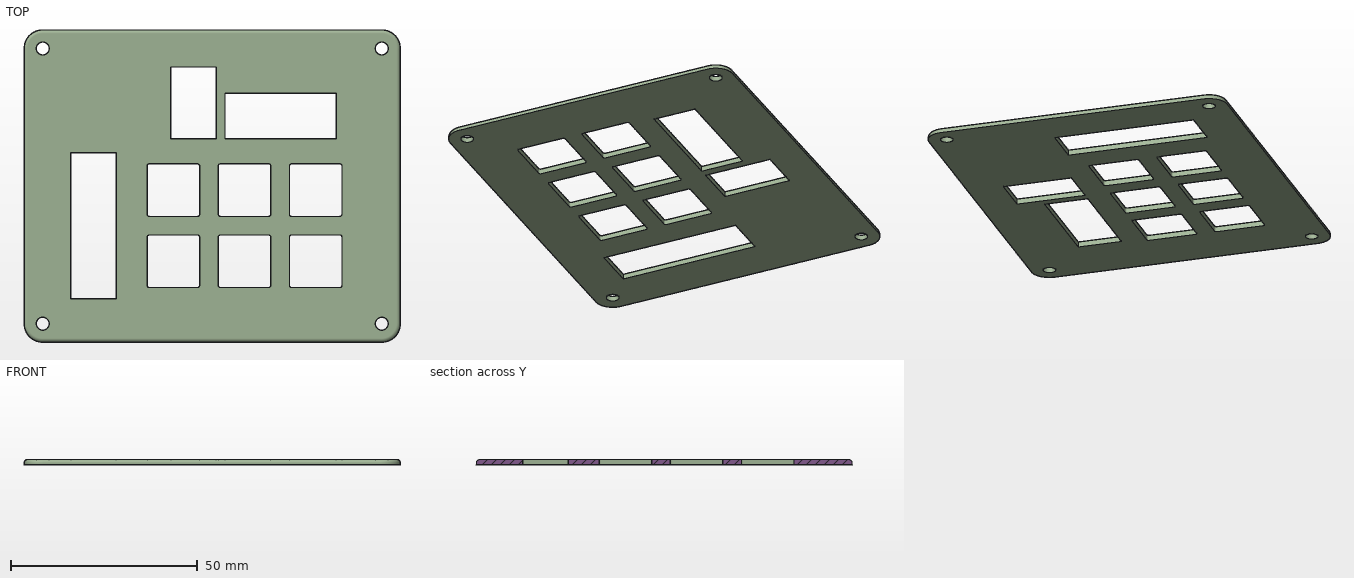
import cadquery as cq

LENGTH = 100.8
WIDTH = 83.7
THICKNESS = 1.5
CORNER_RADIUS = 5.0
TOP_EDGE_RADIUS = 1.0

HOLE_DIAMETER = 3.4
HOLE_INSET = CORNER_RADIUS

KEY_SIZE = 14.0
KEY_CORNER_RADIUS = 0.5
KEY_PITCH = 19.05
KEY_COLUMNS = 3
KEY_ROWS = 2
KEY_GRID_CENTER = (8.65, -10.6)

WINDOW_NARROW = 12.1
TALL_WINDOW_LENGTH = 39.0
TALL_WINDOW_CENTER = (-31.8, KEY_GRID_CENTER[1])
SHORT_WINDOW_LENGTH = 19.1
SHORT_WINDOW_CENTER_X = -5.0
WIDE_WINDOW_LENGTH = 29.7
WIDE_WINDOW_CENTER_X = 18.3
UPPER_WINDOWS_BOTTOM = 12.75


def make_plate():
    """Rounded rectangular plate with a rounded upper rim."""
    plate = cq.Workplane("XY").rect(LENGTH, WIDTH).extrude(THICKNESS)
    plate = plate.edges("|Z").fillet(CORNER_RADIUS)
    return plate.faces(">Z").edges().fillet(TOP_EDGE_RADIUS)


def make_window(size_x, size_y, center):
    """Sharp-cornered rectangular cutter through the plate."""
    return cq.Workplane("XY").center(*center).rect(size_x, size_y).extrude(THICKNESS)


def make_window_above(size_x, size_y, center_x, bottom):
    """Rectangular cutter placed by its lower edge."""
    return make_window(size_x, size_y, (center_x, bottom + size_y / 2))


def make_key_openings():
    """Grid of square cutters with slightly rounded corners."""
    return (
        cq.Workplane("XY")
        .center(*KEY_GRID_CENTER)
        .rarray(KEY_PITCH, KEY_PITCH, KEY_COLUMNS, KEY_ROWS)
        .rect(KEY_SIZE, KEY_SIZE)
        .extrude(THICKNESS)
        .edges("|Z")
        .fillet(KEY_CORNER_RADIUS)
    )


def make_mounting_holes():
    """One round cutter at each plate corner."""
    return (
        cq.Workplane("XY")
        .rect(LENGTH - 2 * HOLE_INSET, WIDTH - 2 * HOLE_INSET, forConstruction=True)
        .vertices()
        .circle(HOLE_DIAMETER / 2)
        .extrude(THICKNESS)
    )


cutters = [
    make_mounting_holes(),
    make_key_openings(),
    make_window(WINDOW_NARROW, TALL_WINDOW_LENGTH, TALL_WINDOW_CENTER),
    make_window_above(WINDOW_NARROW, SHORT_WINDOW_LENGTH, SHORT_WINDOW_CENTER_X, UPPER_WINDOWS_BOTTOM),
    make_window_above(WIDE_WINDOW_LENGTH, WINDOW_NARROW, WIDE_WINDOW_CENTER_X, UPPER_WINDOWS_BOTTOM),
]

result = make_plate()
for cutter in cutters:
    result = result.cut(cutter)